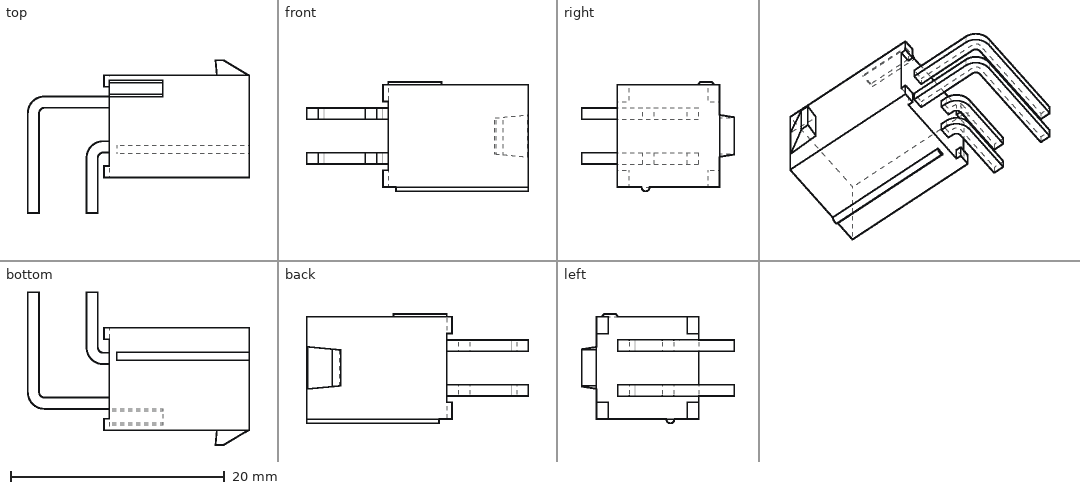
import cadquery as cq


total_length = 20.73
back_x = 7.63
housing_width = 9.6
housing_bottom_y = 3.32
housing_bottom_z = 0.4
housing_length = total_length - back_x
housing_top_y = housing_bottom_y + housing_width
housing_top_z = housing_bottom_z + housing_width
center_z = housing_bottom_z + housing_width / 2

foot_length = 0.5
foot_width = 1.1
foot_height = 1.6

pin_size = 1.08
pin_pitch = 4.19
bend_inner_radius = 0.5
bend_outer_radius = bend_inner_radius + pin_size
tail_spacing = 5.5
pin_center_y = 8.3

key_length = 5.0
key_height = 0.25
key_base_width = 1.51
key_chamfer = 0.2
key_offset_y = 1.26
key_center_y = housing_top_y - key_offset_y

latch_height = 1.39
latch_top_x = 17.55
latch_base_x = 17.68
latch_flat_end_x = 18.33
latch_end_x = 20.65
latch_back_width = 3.35
latch_front_width = 3.94

rib_radius = 0.37
rib_start_x = 8.33
rib_y = 6.0


def make_housing():
    return cq.Workplane("XY").box(housing_length, housing_width, housing_width, centered=False).translate(
        (back_x, housing_bottom_y, housing_bottom_z)
    )


def make_feet():
    feet = cq.Workplane("XY")
    for foot_y in (housing_bottom_y, housing_top_y - foot_width):
        for foot_z in (housing_bottom_z, housing_top_z - foot_height):
            foot = cq.Workplane("XY").box(foot_length, foot_width, foot_height, centered=False)
            feet = feet.add(foot.translate((back_x - foot_length, foot_y, foot_z)))
    return feet.combine()


def make_pin(tail_x, pin_y, pin_z):
    """L-shaped pin: a leg out of the back face at pin_y, bent into a tail ending at Y = 0."""
    outer_y = pin_y + pin_size / 2
    bend_x = tail_x + bend_outer_radius
    bend_y = outer_y - bend_outer_radius
    return (
        cq.Workplane("XY", origin=(0, 0, pin_z - pin_size / 2))
        .moveTo(tail_x, 0)
        .lineTo(tail_x, bend_y)
        .radiusArc((bend_x, outer_y), bend_outer_radius)
        .lineTo(back_x, outer_y)
        .lineTo(back_x, outer_y - pin_size)
        .lineTo(bend_x, outer_y - pin_size)
        .radiusArc((tail_x + pin_size, bend_y), -bend_inner_radius)
        .lineTo(tail_x + pin_size, 0)
        .close()
        .extrude(pin_size)
    )


def make_key():
    base_half = key_base_width / 2
    top_half = base_half - key_chamfer
    return (
        cq.Workplane("YZ", origin=(back_x, key_center_y, housing_top_z))
        .polyline([(-base_half, 0), (-top_half, key_height), (top_half, key_height), (base_half, 0)])
        .close()
        .extrude(key_length)
    )


def make_latch():
    """Ramp profile trimmed to a plan that widens towards the mating end."""
    latch_top_y = housing_top_y + latch_height
    ramp = (
        cq.Workplane("XY", origin=(0, 0, center_z))
        .moveTo(latch_base_x, housing_top_y)
        .lineTo(latch_top_x, latch_top_y)
        .lineTo(latch_flat_end_x, latch_top_y)
        .lineTo(latch_end_x, housing_top_y)
        .close()
        .extrude(latch_front_width / 2, both=True)
    )
    back_half = latch_back_width / 2
    front_half = latch_front_width / 2
    plan = (
        cq.Workplane("XZ", origin=(0, housing_top_y, center_z))
        .moveTo(latch_top_x, -back_half)
        .lineTo(latch_end_x, -front_half)
        .lineTo(latch_end_x, front_half)
        .lineTo(latch_top_x, back_half)
        .close()
        .extrude(-latch_height)
    )
    return ramp.intersect(plan)


def make_rib():
    """Rib reaching down to Z = 0, with short straight sides above a half-round nose."""
    side_height = housing_bottom_z - rib_radius
    return (
        cq.Workplane("YZ", origin=(rib_start_x, rib_y, housing_bottom_z))
        .moveTo(-rib_radius, 0)
        .lineTo(-rib_radius, -side_height)
        .threePointArc((0, -housing_bottom_z), (rib_radius, -side_height))
        .lineTo(rib_radius, 0)
        .close()
        .extrude(total_length - rib_start_x)
    )


result = make_housing().union(make_feet()).union(make_key()).union(make_latch()).union(make_rib())

for tail_x, row_side in ((0, 1), (tail_spacing, -1)):
    for column_side in (-1, 1):
        pin_y = pin_center_y + row_side * pin_pitch / 2
        pin_z = center_z + column_side * pin_pitch / 2
        result = result.union(make_pin(tail_x, pin_y, pin_z))